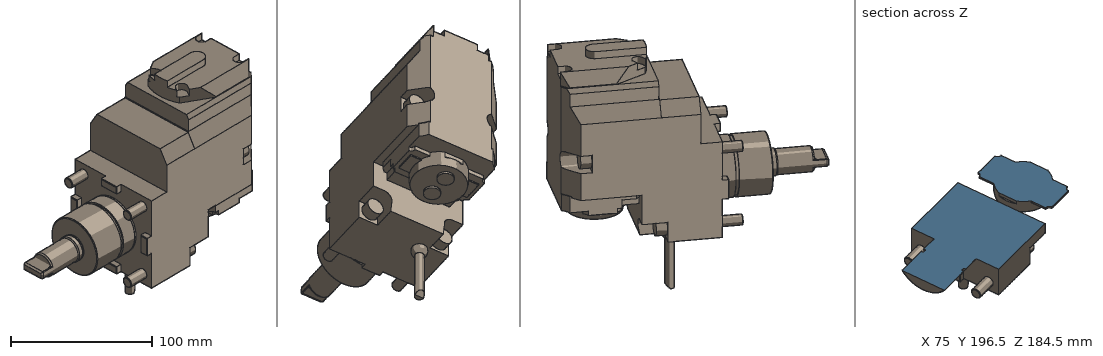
import cadquery as cq
import math


MOUNT_SIZE = 75.0
HALF = MOUNT_SIZE / 2
STEP_Y = 15.5
JOINT_Y = 44.0
COLUMN_BACK_Y = 58.0
BACK_Y = 114.0
FRONT_TOP_Z = 71.5
REAR_TOP_Z = 72.0
OVERHANG_Z = 1.0
SHOULDER_Z = 60.5
TOP_HALF = 31.0
BACK_CORNER = 12.0
COLUMN_BEVEL_Y = 1.5
COLUMN_BEVEL_Z = 8.5

CAP_FRONT_Y = 44.5
CAP_TOP_Z = 85.5
CAP_EDGE_Z = 81.9
CAP_TOP_HALF = 28.9

SPINDLE_Y = 85.0
COVER_TOP_Z = 96.0
COVER_LIP = 0.5
COVER_TOP_HALF = 23.2
COVER_CORNER = 5.7
NOSE_R = 37.0
NOSE_HALF = 15.5
SLANT_ANGLE = 60.0
POCKET_R = 4.4
POCKET_DEPTH = 5.5
REAR_POCKET_X = 18.3
REAR_POCKET_Y = 109.3
NOSE_POCKET_X = 13.0
NOSE_POCKET_Y = 56.0
POCKET_REACH = 12.0

RIB_WIDTH = 12.5
RIB_TOP_Z = 101.5

SCREW_OFFSET = 28.85
SCREW_D = 8.0
SCREW_TIP_Y = -16.0
SCREW_TIP_CHAMFER = 0.5
HEAD_D = 13.0
HEAD_LENGTH = 8.0
HEAD_POCKET_D = 13.6
UPPER_SEAT_Y = 93.7
LOWER_SEAT_Y = 39.2

KEY_LENGTH = 15.0
KEY_WIDTH = 6.3
KEY_HEIGHT = 4.8
KEY_CHAMFER = 0.5

SHANK_R = 45.0 / 2
SHANK_LEAD_R = 44.6 / 2
SHANK_LEAD_Y = -1.5
GROOVE_R = 42.4 / 2
GROOVE_NEAR_Y = -12.9
GROOVE_FAR_Y = -15.3
SHANK_END_Y = -39.8
SHANK_CHAMFER = 0.6
NECK_R = 19.0 / 2
COLLAR_R = 20.0 / 2
COLLAR_NEAR_Y = -41.2
COLLAR_FAR_Y = -44.7
COLLAR_TAPER_Y = -45.7
SHAFT_R = 18.7 / 2
SHOULDER_Y = -72.2
SHOULDER_CHAMFER_Y = 1.2
SHOULDER_CHAMFER_R = 0.8
TANG_THICKNESS = 6.0
TANG_FLAT_HALF = 8.3
TANG_EDGE_DROP = 0.6
TANG_ROOT_FILLET = 2.0
TANG_TIP_LENGTH = 1.7
TANG_TIP_INSET = 0.9
SHAFT_END_Y = -82.5

LOWER_HALF = 31.7
LOWER_BOTTOM_Z = -10.7
LOWER_SIDE_END_Y = 108.7
LOWER_BACK_HALF = 27.0
LOWER_HOLLOW_R = 20.0
LOWER_NOTCH_Z = -4.1
LOWER_NOTCH_Y = 71.3
LOWER_NOTCH_R = 5.4
LOWER_NOTCH_WALL_X = 26.3
LOWER_CORNER = 3.0

NUT_R = 42.0 / 2
HUB_FLAT_HALF = 39.2 / 2
NUT_TOP_Z = -15.4
NUT_EDGE_Z = -20.2
NUT_BOTTOM_Z = -23.2
NUT_BOTTOM_R = 20.4
PAD_R = 6.2
PAD_OFFSET = 8.9
PAD_BOTTOM_Z = -24.9

EAR_WIDTH = 21.0
EAR_ROOT_WIDTH = 27.3
EAR_RELIEF_R = (EAR_ROOT_WIDTH - EAR_WIDTH) / 2
EAR_BOTTOM_Z = -14.2
EAR_PAD_WIDTH = 15.5

PIPE_X = -16.3
PIPE_Y = 34.0
PIPE_R = 7.0 / 2
PIPE_BOTTOM_Z = -83.0
BALL_R = 6.0
BALL_Z = -39.2
BALL_CUT_Z = -44.0

JOIN = 1.0


def block(x0, x1, y0, y1, z0, z1):
    """Axis-aligned box between two corners."""
    return cq.Workplane("XY").box(x1 - x0, y1 - y0, z1 - z0, centered=False).translate((x0, y0, z0))


def rod_y(radius, x, z, y0, y1):
    """Cylinder along Y."""
    return cq.Workplane("XZ", origin=(0, y0, 0)).center(x, z).circle(radius).extrude(y0 - y1)


def rod_z(radius, x, y, z0, z1):
    """Cylinder along Z."""
    return cq.Workplane("XY", origin=(x, y, z0)).circle(radius).extrude(z1 - z0)


def prism_y(points, y0, y1):
    """Closed XZ outline extruded along Y."""
    return cq.Workplane("XZ", origin=(0, y0, 0)).polyline(points).close().extrude(y0 - y1)


def shouldered_outline(bottom_z, bottom_half, edge_z, top_z, top_half):
    """XZ outline with straight sides below edge_z and slopes above it."""
    return [
        (-bottom_half, bottom_z),
        (bottom_half, bottom_z),
        (bottom_half, edge_z),
        (top_half, top_z),
        (-top_half, top_z),
        (-bottom_half, edge_z),
    ]


def cut_rear_corners(solid, half_width, size):
    """45 degree cuts on both rear corners, set at the given half width."""
    for side in (-1, 1):
        corner = (
            cq.Workplane("XY", origin=(0, 0, -MOUNT_SIZE))
            .moveTo(side * (half_width - size), BACK_Y)
            .lineTo(side * (half_width + size), BACK_Y)
            .lineTo(side * (half_width + size), BACK_Y - 2 * size)
            .close()
            .extrude(3 * MOUNT_SIZE)
        )
        solid = solid.cut(corner)
    return solid


def make_body():
    plate = block(-HALF, HALF, 0, STEP_Y + JOIN, -HALF, HALF)
    front = prism_y(shouldered_outline(-HALF, HALF, SHOULDER_Z, FRONT_TOP_Z, TOP_HALF), STEP_Y, JOINT_Y)
    column = prism_y(
        shouldered_outline(-HALF, HALF, SHOULDER_Z, REAR_TOP_Z, TOP_HALF), JOINT_Y, COLUMN_BACK_Y
    )
    foot_bevel = (
        cq.Workplane("YZ", origin=(-HALF, 0, 0))
        .moveTo(COLUMN_BACK_Y - COLUMN_BEVEL_Y, -HALF)
        .lineTo(COLUMN_BACK_Y, -HALF)
        .lineTo(COLUMN_BACK_Y, -HALF + COLUMN_BEVEL_Z)
        .close()
        .extrude(MOUNT_SIZE)
    )
    column = column.cut(foot_bevel)
    rear = prism_y(
        shouldered_outline(OVERHANG_Z, HALF, SHOULDER_Z, REAR_TOP_Z, TOP_HALF), COLUMN_BACK_Y, BACK_Y
    )
    cap = prism_y(
        shouldered_outline(REAR_TOP_Z, TOP_HALF, CAP_EDGE_Z, CAP_TOP_Z, CAP_TOP_HALF), CAP_FRONT_Y, BACK_Y
    )
    body = plate.union(front).union(column).union(rear).union(cap)
    return cut_rear_corners(body, HALF, BACK_CORNER)


def open_pocket(x, y, angle):
    """Round-ended cover pocket that runs out of the edge at the given angle."""
    pocket = rod_z(POCKET_R, 0, 0, COVER_TOP_Z - POCKET_DEPTH, COVER_TOP_Z)
    run_out = block(0, POCKET_REACH, -POCKET_R, POCKET_R, COVER_TOP_Z - POCKET_DEPTH, COVER_TOP_Z)
    return pocket.union(run_out).rotate((0, 0, 0), (0, 0, 1), angle).translate((x, y, 0))


def make_cover():
    outline = shouldered_outline(
        CAP_TOP_Z, CAP_TOP_HALF, CAP_TOP_Z + COVER_LIP, COVER_TOP_Z, COVER_TOP_HALF
    )
    nose_tip_y = SPINDLE_Y - NOSE_R
    nose_side_y = SPINDLE_Y - math.sqrt(NOSE_R**2 - NOSE_HALF**2)
    slant_y = nose_side_y + (HALF - NOSE_HALF) * math.tan(math.radians(SLANT_ANGLE))
    plan = (
        cq.Workplane("XY", origin=(0, 0, CAP_TOP_Z))
        .moveTo(-HALF, BACK_Y)
        .lineTo(-HALF, slant_y)
        .lineTo(-NOSE_HALF, nose_side_y)
        .threePointArc((0, nose_tip_y), (NOSE_HALF, nose_side_y))
        .lineTo(HALF, slant_y)
        .lineTo(HALF, BACK_Y)
        .close()
        .extrude(RIB_TOP_Z - CAP_TOP_Z)
    )
    cover = prism_y(outline, 0, BACK_Y)
    cover = cut_rear_corners(cover, CAP_TOP_HALF, COVER_CORNER)
    rib = block(-RIB_WIDTH / 2, RIB_WIDTH / 2, 0, SPINDLE_Y, COVER_TOP_Z - JOIN, RIB_TOP_Z)
    rib = rib.union(rod_z(RIB_WIDTH / 2, 0, SPINDLE_Y, COVER_TOP_Z - JOIN, RIB_TOP_Z))
    cover = cover.union(rib).intersect(plan)
    for side in (-1, 1):
        outward = 90 - side * (180 - SLANT_ANGLE)
        cover = cover.cut(open_pocket(side * REAR_POCKET_X, REAR_POCKET_Y, 90))
        cover = cover.cut(open_pocket(side * NOSE_POCKET_X, NOSE_POCKET_Y, outward))
    return cover


def head_pocket(side, z, seat_y, back_y, open_below):
    """Screw head pocket that breaks out of the side, and of the foot if open below."""
    x = side * SCREW_OFFSET
    radius = HEAD_POCKET_D / 2
    wall_x = x - side * radius
    outer_x = side * (HALF + JOIN)
    pocket = rod_y(radius, x, z, seat_y, back_y)
    pocket = pocket.union(block(min(x, outer_x), max(x, outer_x), seat_y, back_y, z - radius, z + radius))
    if open_below:
        below = block(min(wall_x, outer_x), max(wall_x, outer_x), seat_y, back_y, -HALF - JOIN, z)
        pocket = pocket.union(below)
    return pocket


def add_screws(solid):
    seats = [
        (SCREW_OFFSET, UPPER_SEAT_Y, BACK_Y, False),
        (-SCREW_OFFSET, LOWER_SEAT_Y, COLUMN_BACK_Y, True),
    ]
    for side in (-1, 1):
        x = side * SCREW_OFFSET
        for z, seat_y, back_y, open_below in seats:
            solid = solid.cut(head_pocket(side, z, seat_y, back_y, open_below))
            head = rod_y(HEAD_D / 2, x, z, seat_y - JOIN, seat_y + HEAD_LENGTH)
            tip = rod_y(SCREW_D / 2, x, z, SCREW_TIP_Y, JOIN).faces("<Y").chamfer(SCREW_TIP_CHAMFER)
            solid = solid.union(head).union(tip)
    return solid


def add_keys(solid):
    key = block(-KEY_LENGTH / 2, KEY_LENGTH / 2, -KEY_HEIGHT, JOIN, HALF - KEY_WIDTH, HALF)
    key = key.faces("<Y").chamfer(KEY_CHAMFER)
    for turn in range(4):
        solid = solid.union(key.rotate((0, 0, 0), (0, 1, 0), 90 * turn))
    return solid


def make_shank():
    profile = [
        (0, JOIN),
        (SHANK_LEAD_R, JOIN),
        (SHANK_LEAD_R, SHANK_LEAD_Y),
        (SHANK_R, SHANK_LEAD_Y),
        (SHANK_R, GROOVE_NEAR_Y),
        (GROOVE_R, GROOVE_NEAR_Y),
        (GROOVE_R, GROOVE_FAR_Y),
        (SHANK_R, GROOVE_FAR_Y),
        (SHANK_R, SHANK_END_Y + SHANK_CHAMFER),
        (SHANK_R - SHANK_CHAMFER, SHANK_END_Y),
        (NECK_R, SHANK_END_Y),
        (NECK_R, COLLAR_NEAR_Y),
        (COLLAR_R, COLLAR_NEAR_Y),
        (COLLAR_R, COLLAR_FAR_Y),
        (SHAFT_R, COLLAR_TAPER_Y),
        (SHAFT_R, SHOULDER_Y + SHOULDER_CHAMFER_Y),
        (SHAFT_R - SHOULDER_CHAMFER_R, SHOULDER_Y),
        (0, SHOULDER_Y),
    ]
    shank = cq.Workplane("XY").polyline(profile).close().revolve(360, (0, 0, 0), (0, 1, 0))
    return shank.union(make_tang())


def make_tang():
    """Flat drive tang with bevelled edges, a tapered tip and filleted roots."""
    half = TANG_THICKNESS / 2
    root_y = SHOULDER_Y + SHOULDER_CHAMFER_Y + JOIN
    tip_y = SHAFT_END_Y + TANG_TIP_LENGTH
    profile = [
        (0, root_y),
        (SHAFT_R, root_y),
        (SHAFT_R, tip_y),
        (SHAFT_R - TANG_TIP_INSET, SHAFT_END_Y),
        (0, SHAFT_END_Y),
    ]
    round_bar = cq.Workplane("XY").polyline(profile).close().revolve(360, (0, 0, 0), (0, 1, 0))
    section = [
        (-TANG_FLAT_HALF, half),
        (TANG_FLAT_HALF, half),
        (SHAFT_R, half - TANG_EDGE_DROP),
        (SHAFT_R, -half + TANG_EDGE_DROP),
        (TANG_FLAT_HALF, -half),
        (-TANG_FLAT_HALF, -half),
        (-SHAFT_R, -half + TANG_EDGE_DROP),
        (-SHAFT_R, half - TANG_EDGE_DROP),
    ]
    side_outline = [
        (root_y, half),
        (tip_y, half),
        (SHAFT_END_Y, half - TANG_TIP_INSET),
        (SHAFT_END_Y, -half + TANG_TIP_INSET),
        (tip_y, -half),
        (root_y, -half),
    ]
    side_prism = cq.Workplane("YZ", origin=(-HALF, 0, 0)).polyline(side_outline).close().extrude(MOUNT_SIZE)
    tang = round_bar.intersect(prism_y(section, SHAFT_END_Y, root_y)).intersect(side_prism)

    bend = TANG_ROOT_FILLET * (1 - math.sqrt(0.5))
    root = (
        cq.Workplane("YZ", origin=(-TANG_FLAT_HALF, 0, 0))
        .moveTo(SHOULDER_Y, 0)
        .lineTo(SHOULDER_Y, half + TANG_ROOT_FILLET)
        .threePointArc((SHOULDER_Y - bend, half + bend), (SHOULDER_Y - TANG_ROOT_FILLET, half))
        .lineTo(SHOULDER_Y - TANG_ROOT_FILLET, 0)
        .close()
        .extrude(2 * TANG_FLAT_HALF)
    )
    root = root.union(root.mirror("XY"))
    shoulder_r = SHAFT_R - SHOULDER_CHAMFER_R
    root = root.intersect(rod_y(shoulder_r, 0, 0, SHAFT_END_Y, SHOULDER_Y))
    return tang.union(root)


def make_lower_cover():
    cover = (
        cq.Workplane("XY", origin=(0, 0, LOWER_BOTTOM_Z))
        .moveTo(-LOWER_HALF + LOWER_CORNER, COLUMN_BACK_Y - JOIN)
        .lineTo(-LOWER_HALF + LOWER_CORNER, COLUMN_BACK_Y)
        .lineTo(-LOWER_HALF, COLUMN_BACK_Y + LOWER_CORNER)
        .lineTo(-LOWER_HALF, LOWER_SIDE_END_Y)
        .radiusArc((-LOWER_BACK_HALF, BACK_Y), -LOWER_HOLLOW_R)
        .lineTo(LOWER_BACK_HALF, BACK_Y)
        .radiusArc((LOWER_HALF, LOWER_SIDE_END_Y), -LOWER_HOLLOW_R)
        .lineTo(LOWER_HALF, COLUMN_BACK_Y + LOWER_CORNER)
        .lineTo(LOWER_HALF - LOWER_CORNER, COLUMN_BACK_Y)
        .lineTo(LOWER_HALF - LOWER_CORNER, COLUMN_BACK_Y - JOIN)
        .close()
        .extrude(OVERHANG_Z + JOIN - LOWER_BOTTOM_Z)
    )
    notch = (
        cq.Workplane("XY", origin=(0, 0, LOWER_BOTTOM_Z))
        .moveTo(LOWER_NOTCH_WALL_X, COLUMN_BACK_Y)
        .lineTo(HALF, COLUMN_BACK_Y)
        .lineTo(HALF, LOWER_NOTCH_Y)
        .lineTo(LOWER_NOTCH_WALL_X + LOWER_NOTCH_R, LOWER_NOTCH_Y)
        .radiusArc((LOWER_NOTCH_WALL_X, LOWER_NOTCH_Y - LOWER_NOTCH_R), -LOWER_NOTCH_R)
        .close()
        .extrude(LOWER_NOTCH_Z - LOWER_BOTTOM_Z)
    )
    return cover.cut(notch).cut(notch.mirror("YZ"))


def make_ears():
    """Pair of ears beside the spindle nose, necked by round reliefs at their ends."""
    ear_top = LOWER_BOTTOM_Z + JOIN
    half_root = EAR_ROOT_WIDTH / 2
    ears = block(
        -LOWER_HALF, LOWER_HALF, SPINDLE_Y - half_root, SPINDLE_Y + half_root, EAR_BOTTOM_Z, ear_top
    )
    for x in (-LOWER_HALF, LOWER_HALF):
        for y in (SPINDLE_Y - half_root, SPINDLE_Y + half_root):
            ears = ears.cut(rod_z(EAR_RELIEF_R, x, y, EAR_BOTTOM_Z, LOWER_BOTTOM_Z))
    half_pad = EAR_PAD_WIDTH / 2
    pad_x = LOWER_HALF - EAR_RELIEF_R
    pad = block(-pad_x, pad_x, SPINDLE_Y - half_pad, SPINDLE_Y + half_pad, NUT_TOP_Z, ear_top)
    return ears.union(pad)


def make_spindle_nose():
    profile = [
        (0, LOWER_BOTTOM_Z + JOIN),
        (NUT_R, LOWER_BOTTOM_Z + JOIN),
        (NUT_R, NUT_EDGE_Z),
        (NUT_BOTTOM_R, NUT_BOTTOM_Z),
        (0, NUT_BOTTOM_Z),
    ]
    nose = cq.Workplane("XZ").polyline(profile).close().revolve(360, (0, 0, 0), (0, 1, 0))
    for y in (-HALF - HUB_FLAT_HALF, HUB_FLAT_HALF):
        nose = nose.cut(block(-HALF, HALF, y, y + HALF, NUT_TOP_Z, LOWER_BOTTOM_Z + JOIN))
    nose = nose.translate((0, SPINDLE_Y, 0))
    for offset in (-PAD_OFFSET, PAD_OFFSET):
        nose = nose.union(rod_z(PAD_R, 0, SPINDLE_Y + offset, PAD_BOTTOM_Z, NUT_BOTTOM_Z + JOIN))
    return nose


def make_coolant_pipe():
    """Ball joint under the body with a pipe cut at 45 degrees on its rear half."""
    ball = cq.Workplane("XY", origin=(PIPE_X, PIPE_Y, BALL_Z)).sphere(BALL_R)
    keep = block(PIPE_X - HALF, PIPE_X + HALF, PIPE_Y - HALF, PIPE_Y + HALF, BALL_CUT_Z, -HALF + JOIN)
    pipe = rod_z(PIPE_R, PIPE_X, PIPE_Y, PIPE_BOTTOM_Z, BALL_Z)
    tip_cut = (
        cq.Workplane("YZ", origin=(PIPE_X - PIPE_R, 0, 0))
        .moveTo(PIPE_Y, PIPE_BOTTOM_Z)
        .lineTo(PIPE_Y + PIPE_R, PIPE_BOTTOM_Z)
        .lineTo(PIPE_Y + PIPE_R, PIPE_BOTTOM_Z + PIPE_R)
        .close()
        .extrude(2 * PIPE_R)
    )
    return ball.intersect(keep).union(pipe.cut(tip_cut))


holder = make_body().union(make_cover())
holder = add_screws(holder)
holder = add_keys(holder)
holder = holder.union(make_shank())
holder = holder.union(make_lower_cover()).union(make_ears()).union(make_spindle_nose())
result = holder.union(make_coolant_pipe())